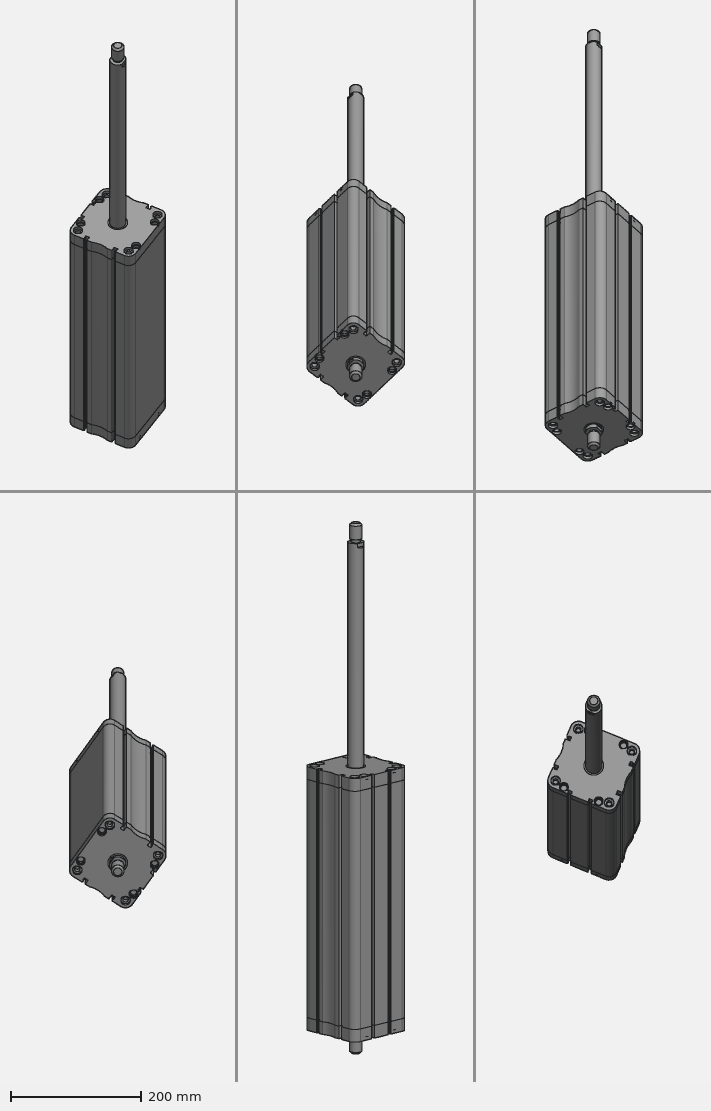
import cadquery as cq
import math

total_length = 843.0
side = 114.0
corner_radius = 13.0

housing_bottom = 37.0
housing_length = 419.0
cap_length = 20.0

rod_diameter = 25.0
stud_diameter = 19.0
stud_length = 30.0
stud_chamfer = 3.0
neck_diameter = 14.0
neck_length = 5.0
flats_across = 22.0
flats_length = 6.0

ring_diameter = 30.0

slot_mouth_width = 5.0
slot_chamfer = 1.3
slot_undercut = 1.3
slot_lip = 3.0
slot_depth = 8.0
front_slot_offset = 24.5
side_slot_offset = 17.0
side_slot_depth = 6.0

channel_diameter = 79.0
channel_width = 28.0

mount_spacing = 89.0
mount_diameter = 14.0
mount_recess_depth = 5.0
mount_core_diameter = 8.5
mount_depth = 15.0

screw_spacing_x = 98.0
screw_spacing_y = 58.0
screw_diameter = 13.5
screw_recess_depth = 5.0
screw_core_diameter = 10.0
screw_depth = 10.0

half_side = side / 2
housing_top = housing_bottom + housing_length
housing_middle = housing_bottom + housing_length / 2
rod_radius = rod_diameter / 2


def mirrored_end(body):
    """The same body at the other end of the housing."""
    return body.mirror("XY", (0, 0, housing_middle))


def slot_cutter(offset, depth, length):
    """A slot running along Z in the -Y face, centred at X = offset, undercut and chamfered on its +X wall."""
    inner_wall = offset - slot_mouth_width / 2
    outer_wall = offset + slot_mouth_width / 2
    chamfer_y = slot_chamfer - half_side
    lip_y = slot_lip - half_side
    floor_y = depth - half_side
    outline = [
        (inner_wall, -half_side),
        (inner_wall, floor_y),
        (outer_wall + slot_undercut, floor_y),
        (outer_wall + slot_undercut, lip_y),
        (outer_wall, lip_y),
        (outer_wall, chamfer_y),
        (outer_wall + slot_chamfer, -half_side),
    ]
    return cq.Workplane("XY").polyline(outline).close().extrude(length)


def channel_cutter(length):
    """Two cylinders that hollow the middle of the front and back faces."""
    radius = channel_diameter / 2
    axis_offset = half_side + math.sqrt(radius**2 - (channel_width / 2) ** 2)
    axes = [(0, axis_offset), (0, -axis_offset)]
    return cq.Workplane("XY").pushPoints(axes).circle(radius).extrude(length)


def housing_section(bottom, length, bore_diameter):
    """A length of the square housing with its slots, channels and central bore."""
    section = cq.Workplane("XY").rect(side, side).extrude(length)
    section = section.edges("|Z").fillet(corner_radius)
    front_slot = slot_cutter(front_slot_offset, slot_depth, length)
    for slot in (front_slot, front_slot.mirror("YZ")):
        section = section.cut(slot).cut(slot.mirror("XZ"))
    side_slot = slot_cutter(side_slot_offset, side_slot_depth, length).rotate((0, 0, 0), (0, 0, 1), -90)
    section = section.cut(side_slot).cut(side_slot.mirror("XZ"))
    section = section.cut(channel_cutter(length))
    section = section.cut(cq.Workplane("XY").circle(bore_diameter / 2).extrude(length))
    return section.translate((0, 0, bottom))


def stepped_holes(spacing_x, spacing_y, wide_diameter, wide_depth, core_diameter, core_depth):
    """Four stepped blind holes going down from the top of the housing."""
    centres = cq.Workplane("XY", origin=(0, 0, housing_top)).rarray(spacing_x, spacing_y, 2, 2)
    recesses = centres.circle(wide_diameter / 2).extrude(-wide_depth)
    cores = centres.circle(core_diameter / 2).extrude(-core_depth)
    return recesses.union(cores)


def make_tube():
    length = housing_length - 2 * cap_length
    return housing_section(housing_bottom + cap_length, length, rod_diameter)


def make_top_cap():
    cap = housing_section(housing_top - cap_length, cap_length, ring_diameter)
    mount_holes = stepped_holes(
        mount_spacing, mount_spacing, mount_diameter, mount_recess_depth, mount_core_diameter, mount_depth
    )
    screw_holes = stepped_holes(
        screw_spacing_x, screw_spacing_y, screw_diameter, screw_recess_depth, screw_core_diameter, screw_depth
    )
    return cap.cut(mount_holes).cut(screw_holes)


def make_top_ring():
    ring = cq.Workplane("XY", origin=(0, 0, housing_top - cap_length))
    return ring.circle(ring_diameter / 2).circle(rod_radius).extrude(cap_length)


def flat_cutter():
    """The wedge that cuts the lower wrench flat on the +X side, ending in a 45 degree slope."""
    flat_x = flats_across / 2
    flat_end = stud_length + flats_length
    slope_end = flat_end + rod_radius - flat_x
    outline = [
        (flat_x, stud_length),
        (flat_x, flat_end),
        (rod_radius, slope_end),
        (rod_radius, stud_length),
    ]
    return cq.Workplane("XZ").polyline(outline).close().extrude(rod_radius, both=True)


def make_rod():
    stud_radius = stud_diameter / 2
    neck_radius = neck_diameter / 2
    thread_end = stud_length - neck_length
    lower_half = [
        (0, 0),
        (stud_radius - stud_chamfer, 0),
        (stud_radius, stud_chamfer),
        (stud_radius, thread_end),
        (neck_radius, thread_end),
        (neck_radius, stud_length),
        (rod_radius, stud_length),
    ]
    upper_half = [(x, total_length - z) for x, z in reversed(lower_half)]
    rod = cq.Workplane("XZ").polyline(lower_half + upper_half).close().revolve(360, (0, 0, 0), (0, 1, 0))
    lower_flats = flat_cutter().union(flat_cutter().mirror("YZ"))
    upper_flats = lower_flats.mirror("XY", (0, 0, total_length / 2))
    return rod.cut(lower_flats).cut(upper_flats)


tube = make_tube()
top_cap = make_top_cap()
top_ring = make_top_ring()
rod = make_rod()
caps = [top_cap, mirrored_end(top_cap)]
rings = [top_ring, mirrored_end(top_ring)]

result = cq.Compound.makeCompound([body.val() for body in (tube, *caps, *rings, rod)])